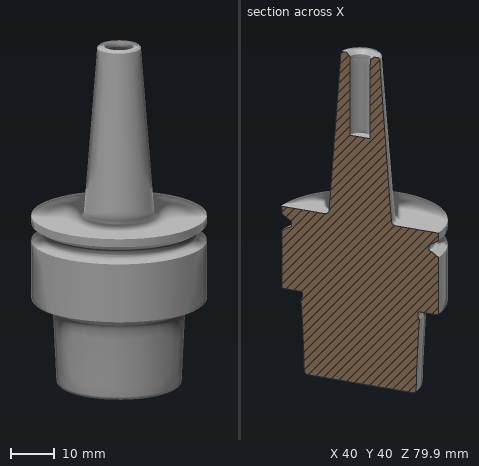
import cadquery as cq
import math

TOTAL_HEIGHT = 79.9
COLLAR_BOTTOM = 19.9
COLLAR_TOP = 39.9

SHANK_END_RADIUS = 14.2
SHANK_LARGE_RADIUS = 15.1
SHANK_TAPER_TOP = 18.0
SHANK_END_FILLET = 0.9
NECK_RADIUS = 14.8
NECK_BOTTOM = 18.7
NECK_TOP_FILLET = 0.2

COLLAR_RADIUS = 20.0
COLLAR_CHAMFER = 0.3
GROOVE_CENTER = 35.95
GROOVE_WIDTH = 4.1
GROOVE_FLOOR_RADIUS = 17.5
GROOVE_CORNER_RADIUS = 0.55
GROOVE_FLANK_ANGLE = math.radians(32)

NOSE_BASE_RADIUS = 8.1
NOSE_TIP_RADIUS = 4.95
NOSE_FOOT_FILLET = 0.95
NOSE_TIP_CHAMFER = 0.4

BORE_RADIUS = 2.5
ENTRY_RADIUS = 2.55
ENTRY_DEPTH = 2.1
BORE_DEPTH = 20.0
COUNTERSINK_RADIUS = 3.5


def revolve_profile(profile):
    """Turn a closed radius-height profile around the Z axis."""
    return profile.close().revolve(360, (0, 0, 0), (0, 1, 0))


def make_shank():
    profile = (
        cq.Workplane("XZ")
        .lineTo(SHANK_END_RADIUS, 0)
        .lineTo(SHANK_LARGE_RADIUS, SHANK_TAPER_TOP)
        .lineTo(NECK_RADIUS, NECK_BOTTOM)
        .lineTo(NECK_RADIUS, COLLAR_BOTTOM - NECK_TOP_FILLET)
        .radiusArc((NECK_RADIUS + NECK_TOP_FILLET, COLLAR_BOTTOM), NECK_TOP_FILLET)
        .lineTo(0, COLLAR_BOTTOM)
    )
    return revolve_profile(profile).faces("<Z").edges().fillet(SHANK_END_FILLET)


def make_collar():
    collar = (
        cq.Workplane("XY", origin=(0, 0, COLLAR_BOTTOM))
        .circle(COLLAR_RADIUS)
        .extrude(COLLAR_TOP - COLLAR_BOTTOM)
    )
    return collar.faces("<Z").edges().chamfer(COLLAR_CHAMFER).cut(make_groove())


def make_groove():
    """Ring with sloped flanks joined to a flat floor by quarter-circle corners."""
    half_width = GROOVE_WIDTH / 2
    flank_end_radius = GROOVE_FLOOR_RADIUS + GROOVE_CORNER_RADIUS
    flank_drop = (COLLAR_RADIUS - flank_end_radius) * math.tan(GROOVE_FLANK_ANGLE)
    flank_end = half_width - flank_drop
    floor_end = flank_end - GROOVE_CORNER_RADIUS
    arc_offset = GROOVE_CORNER_RADIUS * math.sin(math.pi / 4)
    arc_mid_radius = flank_end_radius - arc_offset
    arc_mid = floor_end + arc_offset
    profile = (
        cq.Workplane("XZ")
        .moveTo(COLLAR_RADIUS, GROOVE_CENTER + half_width)
        .lineTo(flank_end_radius, GROOVE_CENTER + flank_end)
        .threePointArc(
            (arc_mid_radius, GROOVE_CENTER + arc_mid),
            (GROOVE_FLOOR_RADIUS, GROOVE_CENTER + floor_end),
        )
        .lineTo(GROOVE_FLOOR_RADIUS, GROOVE_CENTER - floor_end)
        .threePointArc(
            (arc_mid_radius, GROOVE_CENTER - arc_mid),
            (flank_end_radius, GROOVE_CENTER - flank_end),
        )
        .lineTo(COLLAR_RADIUS, GROOVE_CENTER - half_width)
    )
    return revolve_profile(profile)


def make_nose():
    profile = (
        cq.Workplane("XZ")
        .moveTo(0, COLLAR_TOP)
        .lineTo(NOSE_BASE_RADIUS, COLLAR_TOP)
        .lineTo(NOSE_TIP_RADIUS, TOTAL_HEIGHT)
        .lineTo(0, TOTAL_HEIGHT)
    )
    return revolve_profile(profile).faces(">Z").edges().chamfer(NOSE_TIP_CHAMFER)


def make_bore():
    """Flat-bottomed stepped bore with a 45 degree countersink at its mouth."""
    countersink_bottom = TOTAL_HEIGHT - (COUNTERSINK_RADIUS - ENTRY_RADIUS)
    entry_bottom = TOTAL_HEIGHT - ENTRY_DEPTH
    bore_bottom = TOTAL_HEIGHT - BORE_DEPTH
    profile = (
        cq.Workplane("XZ")
        .moveTo(0, TOTAL_HEIGHT)
        .lineTo(COUNTERSINK_RADIUS, TOTAL_HEIGHT)
        .lineTo(ENTRY_RADIUS, countersink_bottom)
        .lineTo(ENTRY_RADIUS, entry_bottom)
        .lineTo(BORE_RADIUS, entry_bottom)
        .lineTo(BORE_RADIUS, bore_bottom)
        .lineTo(0, bore_bottom)
    )
    return revolve_profile(profile)


body = make_shank().union(make_collar()).union(make_nose())
foot_edge = cq.selectors.NearestToPointSelector((0, 0, COLLAR_TOP))
body = body.edges(foot_edge).fillet(NOSE_FOOT_FILLET)
result = body.cut(make_bore())